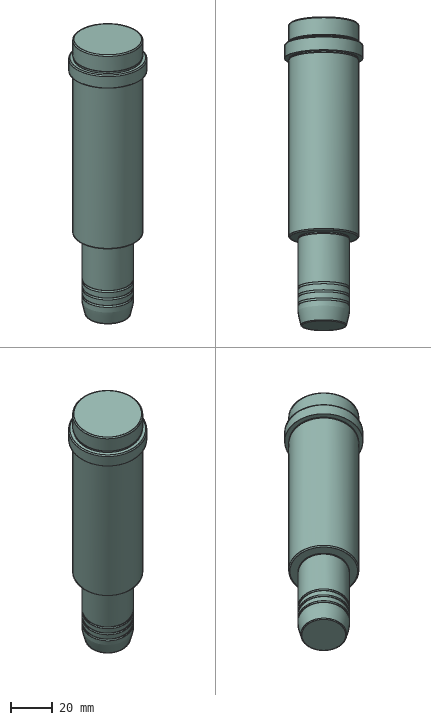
import cadquery as cq

total_height = 150.0
collar_top = 140.0
collar_bottom = 133.0
body_bottom = 44.0
taper_top = 7.0

collar_diameter = 38.0
body_diameter = 34.0
shank_diameter = 25.0
nose_diameter = 22.2

collar_radius = collar_diameter / 2
body_radius = body_diameter / 2
shank_radius = shank_diameter / 2
nose_radius = nose_diameter / 2

edge_break = 0.6
nose_break = 0.5

shank_groove_depth = 0.5
shank_groove_width = 1.0
shank_groove_count = 3
shank_groove_pitch = 4.0
first_groove_center = 10.5

relief_depth = 0.3
relief_slope = 0.2
head_relief_width = 0.8
lower_relief_width = 0.6

nose_bulge = 0.2


def turned_blank():
    """Revolved pin: rounded nose, shank, body, collar and head."""
    nose_middle = (
        (nose_radius + shank_radius) / 2 + nose_bulge,
        (nose_break + taper_top) / 2,
    )
    profile = (
        cq.Workplane("XZ")
        .lineTo(nose_radius - nose_break, 0)
        .lineTo(nose_radius, nose_break)
        .threePointArc(nose_middle, (shank_radius, taper_top))
        .lineTo(shank_radius, body_bottom)
        .lineTo(body_radius - edge_break, body_bottom)
        .lineTo(body_radius, body_bottom + edge_break)
        .lineTo(body_radius, collar_bottom)
        .lineTo(collar_radius, collar_bottom)
        .lineTo(collar_radius, collar_top - edge_break)
        .lineTo(collar_radius - edge_break, collar_top)
        .lineTo(body_radius, collar_top)
        .lineTo(body_radius, total_height - edge_break)
        .lineTo(body_radius - edge_break, total_height)
        .lineTo(0, total_height)
        .close()
    )
    return profile.revolve(360, (0, 0, 0), (0, 1, 0))


def shoulder_relief(radius, shoulder, width, direction):
    """Ring cutter running from a shoulder up (+1) or down (-1), square at the shoulder."""
    floor = radius - relief_depth
    far_side = shoulder + direction * width
    section = [
        (radius, shoulder),
        (floor, shoulder),
        (floor, far_side - direction * relief_slope),
        (radius, far_side),
    ]
    return cq.Workplane("XZ").polyline(section).close().revolve(360, (0, 0, 0), (0, 1, 0))


def shank_groove(center):
    """Round-bottomed ring cutter around the shank."""
    half_width = shank_groove_width / 2
    section = (
        cq.Workplane("XZ")
        .moveTo(shank_radius, center - half_width)
        .threePointArc((shank_radius - shank_groove_depth, center), (shank_radius, center + half_width))
        .close()
    )
    return section.revolve(360, (0, 0, 0), (0, 1, 0))


result = turned_blank()

result = result.cut(shoulder_relief(shank_radius, body_bottom, lower_relief_width, -1.5))
result = result.cut(shoulder_relief(body_radius, collar_bottom, lower_relief_width, -1.5))
result = result.cut(shoulder_relief(body_radius, collar_top, head_relief_width, 1.5))

for index in range(shank_groove_count):
    result = result.cut(shank_groove(first_groove_center + index * shank_groove_pitch))